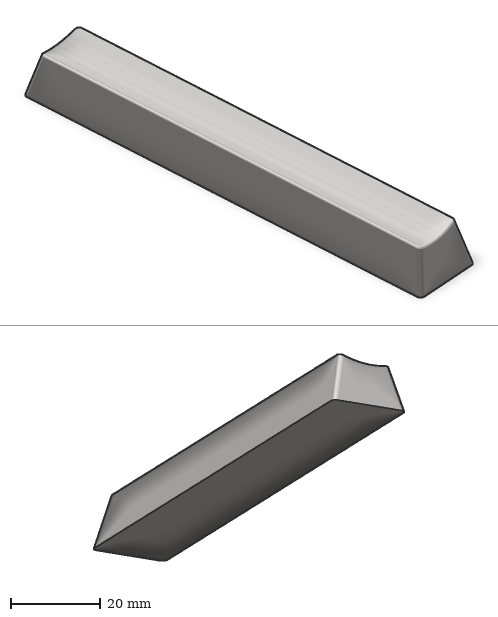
import cadquery as cq
import math

base_length = 118.31
base_width = 18.3
draft_angle = 13.7
corner_radius = 1.2

back_edge_height = 12.57
front_edge_height = 11.22
scoop_low_height = 10.72
scoop_low_y = -2.2
rim_radius = 0.5

blank_height = 15.0
cut_overhang = 5.0


def wall_inset(height):
    """Distance a drafted wall has moved inwards at the given height."""
    return height * math.tan(math.radians(draft_angle))


def make_tapered_blank():
    """Drafted block, taller than the finished part, with rounded upright corners."""
    blank = (
        cq.Workplane("XY")
        .rect(base_length, base_width)
        .extrude(blank_height, taper=draft_angle)
    )
    upright_edges = blank.edges("not(#Z)")
    return upright_edges.fillet(corner_radius)


def make_scoop_cutter():
    """Everything above the concave cylindrical top, running the full length."""
    back_y = base_width / 2 - wall_inset(back_edge_height)
    front_y = -base_width / 2 + wall_inset(front_edge_height)
    cutter_top = blank_height + cut_overhang
    cutter_length = base_length + 2 * cut_overhang
    return (
        cq.Workplane("YZ", origin=(-cutter_length / 2, 0, 0))
        .moveTo(back_y, back_edge_height)
        .threePointArc((scoop_low_y, scoop_low_height), (front_y, front_edge_height))
        .lineTo(front_y - cut_overhang, front_edge_height)
        .lineTo(front_y - cut_overhang, cutter_top)
        .lineTo(back_y + cut_overhang, cutter_top)
        .lineTo(back_y + cut_overhang, back_edge_height)
        .close()
        .extrude(cutter_length)
    )


def round_rim(body):
    """Round the edge loop between the scooped top and the walls."""
    above_scoop = (0, 0, blank_height)
    scoop_face = body.faces(cq.NearestToPointSelector(above_scoop))
    return scoop_face.edges().fillet(rim_radius)


result = make_tapered_blank().cut(make_scoop_cutter())
result = round_rim(result)